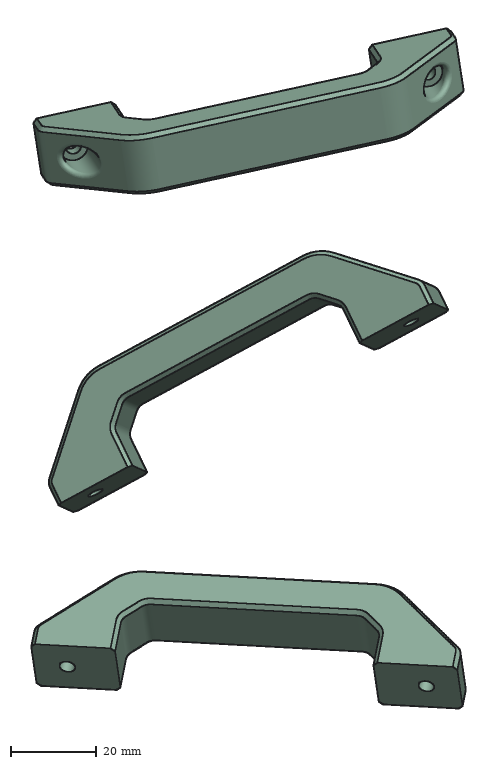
import cadquery as cq
import math

length = 101.5
depth = 25.0
thickness = 15.0
tilt = math.radians(32.1)

foot_length = 20.0
foot_side_depth = 6.0
grip_depth = 10.0
recess_bevel = 5.0
grip_radius = 10.0
corner_radius = 3.0
edge_chamfer = 1.0

hole_end_distance = 8.0
hole_diameter = 3.7
counterbore_diameter = 7.0
near_counterbore_floor = 3.5
far_counterbore_floor = 6.0
counterbore_rounding = 1.0

half_length = length / 2
slope_size = depth - foot_side_depth
recess_depth = depth - grip_depth
recess_half_length = half_length - foot_length
hole_y = half_length - hole_end_distance

handle_plane = cq.Plane(
    origin=(0, 0, 0),
    xDir=(math.cos(tilt), 0, math.sin(tilt)),
    normal=(-math.sin(tilt), 0, math.cos(tilt)),
)


def mirrored(half_outline):
    """Complete a half outline with its mirror image across y = 0."""
    return half_outline + [(x, -y) for x, y in reversed(half_outline)]


def round_corners(body, corners, radius):
    """Round the edges parallel to the thickness that stand on the given outline corners."""
    for x, y in corners:
        edge = cq.selectors.NearestToPointSelector((x, y, thickness / 2))
        body = body.edges("|Z").edges(edge).fillet(radius)
    return body


def make_body():
    """Extrude the bridge-shaped outline and round its corners."""
    slope_start = (foot_side_depth, half_length)
    slope_end = (depth, half_length - slope_size)
    bevel_start = (recess_depth - recess_bevel, recess_half_length)
    bevel_end = (recess_depth, recess_half_length - recess_bevel)
    outer = mirrored([(0, half_length), slope_start, slope_end])
    recess = mirrored([(0, recess_half_length), bevel_start, bevel_end])
    outline = outer + recess[::-1]
    body = cq.Workplane("XY").polyline(outline).close().extrude(thickness)
    body = round_corners(body, mirrored([slope_end]), grip_radius)
    return round_corners(body, mirrored([slope_start, bevel_start, bevel_end]), corner_radius)


def chamfer_rims(body):
    """Chamfer both flat faces all round, except along the foot faces."""
    rims = body.faces("|Z").edges()
    rims = rims.filter(lambda edge: edge.Center().x > edge_chamfer)
    return rims.chamfer(edge_chamfer)


def cylinder_along_depth(diameter, start, y):
    """Cylinder at mid thickness, running in the depth direction past the slope."""
    sketch = cq.Workplane("YZ", origin=(start, y, thickness / 2))
    return sketch.circle(diameter / 2).extrude(depth)


def cut_screw_hole(body, y, counterbore_floor):
    """Cut a counterbored hole and round the rim where it breaks through the slope."""
    body = body.cut(cylinder_along_depth(hole_diameter, 0, y))
    body = body.cut(cylinder_along_depth(counterbore_diameter, counterbore_floor, y))
    slope_point = (foot_side_depth + hole_end_distance, y, thickness / 2)
    rim = body.edges("%ELLIPSE").edges(cq.selectors.NearestToPointSelector(slope_point))
    return rim.fillet(counterbore_rounding)


handle = chamfer_rims(make_body())
for end_y, floor in ((-hole_y, near_counterbore_floor), (hole_y, far_counterbore_floor)):
    handle = cut_screw_hole(handle, end_y, floor)

result = cq.Workplane(handle.val().moved(cq.Location(handle_plane)))